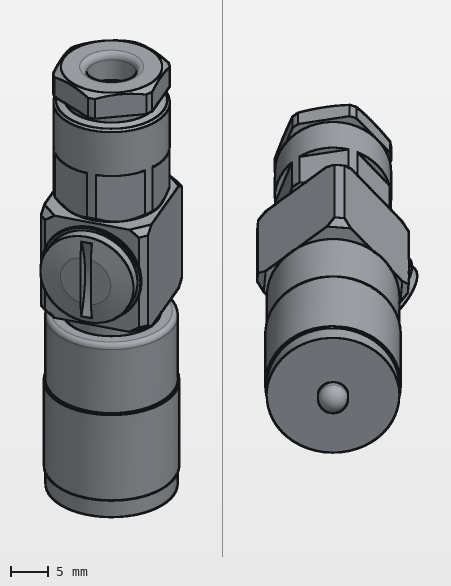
import cadquery as cq
import math

TOTAL_HEIGHT = 67.2
SLEEVE_BOTTOM = 2.75
RING_BOTTOM = 5.3
RING_TOP = 18.9
SLEEVE_TOP = 29.45
BLOCK_BOTTOM = 31.5
BLOCK_TOP = 47.3
COLLAR_BOTTOM = 54.9
COLLAR_TOP = 62.05
NUT_BOTTOM = 63.7

PIN_RADIUS = 2.0
SLEEVE_RADIUS = 8.8
SLEEVE_FILLET = 0.75
RING_RADIUS = 9.0
RING_CHAMFER = RING_RADIUS - SLEEVE_RADIUS
LOWER_NECK_RADIUS = 6.6

BLOCK_WIDTH = 15.1
BLOCK_EDGE_CHAMFER = 0.95
BLOCK_CORNER_CHAMFER = 0.95

HEX_APOTHEM = 7.0
COLLAR_RADIUS = 7.7
COLLAR_CHAMFER = 0.35
COLLAR_BEVEL_HEIGHT = 0.8
COLLAR_BEVEL_RADIUS = 6.9

UPPER_NECK_RADIUS = 6.25
NECK_FOOT_RADIUS = 7.25
NECK_FOOT_HEIGHT = 0.3

NUT_CORNER_RADIUS = 7.8
NUT_BEVEL_RADIUS = 6.7
NUT_BEVEL_HEIGHT = 0.55
CABLE_HOLE_RADIUS = 3.3
CABLE_HOLE_FILLET = 0.95
CABLE_HOLE_DEPTH = 4.05

SCREW_HEIGHT = 39.65
SCREW_FRONT = 10.0
SCREW_RIM = 9.55
FLANGE_FRONT = 8.0
FLANGE_RADIUS = 7.0
SCREW_RADIUS = 6.6
SCREW_FLAT_RADIUS = 3.55
SLOT_WIDTH = 1.5
SLOT_LENGTH = 11.55
SLOT_DEPTH = 1.8


def cylinder(radius, bottom, top):
    return cq.Workplane("XY").workplane(offset=bottom).circle(radius).extrude(top - bottom)


def hexagon(bottom, top):
    """Hexagonal prism with two of its flats facing +X and -X."""
    corner_radius = HEX_APOTHEM / math.cos(math.pi / 6)
    prism = cq.Workplane("XY").polygon(6, 2 * corner_radius).extrude(top - bottom)
    return prism.rotate((0, 0, 0), (0, 0, 1), 30).translate((0, 0, bottom))


def revolved(points):
    """Solid of revolution about Z from (radius, height) points that start and end on the axis."""
    return cq.Workplane("XZ").polyline(points).close().revolve(360, (0, 0), (0, 1))


def make_pin():
    pin = cylinder(PIN_RADIUS, PIN_RADIUS, SLEEVE_BOTTOM)
    return pin.union(cq.Workplane("XY").sphere(PIN_RADIUS).translate((0, 0, PIN_RADIUS)))


def make_sleeve():
    sleeve = cylinder(SLEEVE_RADIUS, SLEEVE_BOTTOM, SLEEVE_TOP)
    sleeve = sleeve.faces(">Z").edges().fillet(SLEEVE_FILLET)
    ring = cylinder(RING_RADIUS, RING_BOTTOM, RING_TOP).edges("%CIRCLE").chamfer(RING_CHAMFER)
    neck = cylinder(LOWER_NECK_RADIUS, SLEEVE_TOP, BLOCK_BOTTOM)
    return sleeve.union(ring).union(neck)


def make_block():
    height = BLOCK_TOP - BLOCK_BOTTOM
    block = cq.Workplane("XY").box(BLOCK_WIDTH, BLOCK_WIDTH, height)
    block = block.edges("|Z").chamfer(BLOCK_EDGE_CHAMFER)
    block = block.faces("<Z or >Z").edges("not(#X or #Y)").chamfer(BLOCK_CORNER_CHAMFER)
    return block.translate((0, 0, BLOCK_BOTTOM + height / 2))


def make_collar():
    barrel = revolved([
        (0, BLOCK_TOP),
        (COLLAR_BEVEL_RADIUS, BLOCK_TOP),
        (COLLAR_RADIUS, BLOCK_TOP + COLLAR_BEVEL_HEIGHT),
        (COLLAR_RADIUS, COLLAR_TOP - COLLAR_CHAMFER),
        (COLLAR_RADIUS - COLLAR_CHAMFER, COLLAR_TOP),
        (0, COLLAR_TOP),
    ])
    round_part = cylinder(COLLAR_RADIUS, COLLAR_BOTTOM, COLLAR_TOP)
    return barrel.intersect(hexagon(BLOCK_TOP, COLLAR_BOTTOM).union(round_part))


def make_upper_neck():
    return revolved([
        (0, COLLAR_TOP),
        (NECK_FOOT_RADIUS, COLLAR_TOP),
        (UPPER_NECK_RADIUS, COLLAR_TOP + NECK_FOOT_HEIGHT),
        (UPPER_NECK_RADIUS, NUT_BOTTOM),
        (0, NUT_BOTTOM),
    ])


def make_nut():
    envelope = revolved([
        (0, NUT_BOTTOM),
        (NUT_CORNER_RADIUS, NUT_BOTTOM),
        (NUT_CORNER_RADIUS, TOTAL_HEIGHT - NUT_BEVEL_HEIGHT),
        (NUT_BEVEL_RADIUS, TOTAL_HEIGHT),
        (0, TOTAL_HEIGHT),
    ])
    return envelope.intersect(hexagon(NUT_BOTTOM, TOTAL_HEIGHT))


def make_cable_hole():
    """Blind hole whose mouth flares out in a rounded edge."""
    mouth_radius = CABLE_HOLE_RADIUS + CABLE_HOLE_FILLET
    flare_bottom = TOTAL_HEIGHT - CABLE_HOLE_FILLET
    arc_offset = CABLE_HOLE_FILLET * math.sqrt(0.5)
    flare_middle = (mouth_radius - arc_offset, flare_bottom + arc_offset)
    profile = (
        cq.Workplane("XZ")
        .moveTo(0, TOTAL_HEIGHT)
        .lineTo(mouth_radius, TOTAL_HEIGHT)
        .threePointArc(flare_middle, (CABLE_HOLE_RADIUS, flare_bottom))
        .lineTo(CABLE_HOLE_RADIUS, TOTAL_HEIGHT - CABLE_HOLE_DEPTH)
        .lineTo(0, TOTAL_HEIGHT - CABLE_HOLE_DEPTH)
        .close()
    )
    return profile.revolve(360, (0, 0), (0, 1))


def make_screw():
    """Screw head turned about Z, then laid over so that its face looks toward -Y."""
    head = revolved([
        (0, BLOCK_WIDTH / 2),
        (FLANGE_RADIUS, BLOCK_WIDTH / 2),
        (FLANGE_RADIUS, FLANGE_FRONT),
        (SCREW_RADIUS, FLANGE_FRONT),
        (SCREW_RADIUS, SCREW_RIM),
        (SCREW_FLAT_RADIUS, SCREW_FRONT),
        (0, SCREW_FRONT),
    ])
    return head.rotate((0, 0, 0), (1, 0, 0), 90).translate((0, 0, SCREW_HEIGHT))


def make_slot():
    """Disc that cuts the screwdriver slot and its concave floor, standing in the YZ plane."""
    half_length = SLOT_LENGTH / 2
    cone_slope = (SCREW_FRONT - SCREW_RIM) / (SCREW_RADIUS - SCREW_FLAT_RADIUS)
    end_setback = (half_length - SCREW_FLAT_RADIUS) * cone_slope
    sag = SLOT_DEPTH - end_setback
    disc_radius = (half_length**2 + sag**2) / (2 * sag)
    disc = cq.Workplane("YZ").circle(disc_radius).extrude(SLOT_WIDTH / 2, both=True)
    return disc.translate((0, SLOT_DEPTH - SCREW_FRONT - disc_radius, SCREW_HEIGHT))


result = (
    make_block()
    .union(make_sleeve())
    .union(make_pin())
    .union(make_collar())
    .union(make_upper_neck())
    .union(make_nut())
    .union(make_screw())
    .cut(make_slot())
    .cut(make_cable_hole())
)